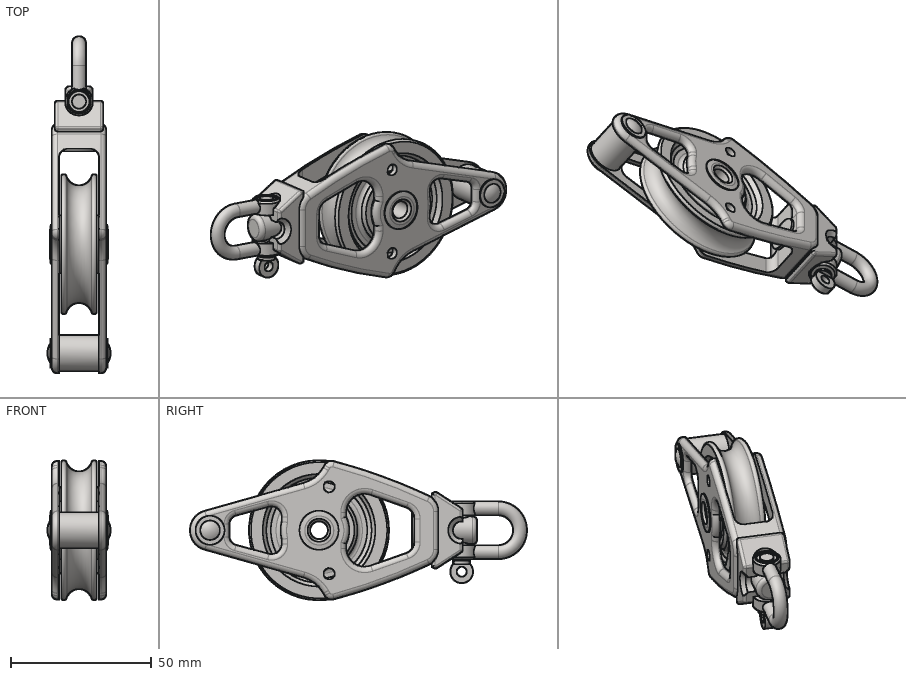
import cadquery as cq
import math


cheek_inner = 7.1
cheek_outer = 9.7
cheek_thickness = cheek_outer - cheek_inner
cheek_edge_radius = 2.0
cheek_rear = 42.8
shoulder_tip = (3.1, 25.3)
shoulder_root = (-1.0, 18.2)
shoulder_tip_radius = 3.0
shoulder_root_radius = 12.0
flank_middle = (22.9, 19.1)
rear_corner_z = 10.6
rear_corner_radius = 6.0
nose_y = -38.9
nose_radius = 7.2
rivet_hole_y = 3.6
rivet_hole_z = 15.5
rivet_hole_diameter = 4.0

rear_window_back = (33.9, 7.1)
rear_window_front = (9.7, 15.6)
rear_window_back_radius = 4.2
rear_window_front_radius = 6.5
rear_hub_clearance = 10.8
front_window_back = (-13.4, 9.6)
front_window_nose = (-31.9, 4.6)
front_window_back_radius = 3.6
front_window_nose_radius = 3.0
front_hub_clearance = 13.7

crossbar_inner_y = 34.0
crossbar_corner_radius = 3.1
stud_head_diameter = 12.0
stud_head_y = 33.1

sheave_radius = 25.0
sheave_half_width = 6.4
groove_radius = 4.5
groove_bottom_radius = 21.0
rim_edge_radius = 24.3
recess_depth = 2.4
recess_step_depth = 1.8
recess_mouth_radius = 20.1
recess_step_radius = 18.8
recess_floor_radius = 17.2
recess_root_radius = 15.4
hub_wall_radius = 13.7
hub_top_radius = 12.6

washer_diameter = 20.8
hub_cap_diameter = 14.0
hub_cap_top_diameter = 10.3
hub_cap_outer = 10.3
hub_cap_edge = 0.2
bore_diameter = 6.3
bore_mouth_diameter = 8.2

spacer_diameter = 13.0
becket_cap_diameter = 10.3
becket_cap_outer = 10.2
dome_diameter = 7.0
becket_half_length = 11.3

saddle_half_width = 8.7
saddle_front_y = 40.2
saddle_front_z = 13.1
saddle_ridge = (41.6, 13.8)
saddle_rear_y = 51.2
saddle_rear_z = 7.6
saddle_edge_radius = 1.1
saddle_ridge_radius = 0.8
notch_radius = 3.1
notch_edge_radius = 1.7
stud_diameter = 10.0
stud_end_y = 56.4
stud_edge_radius = 1.7

shackle_bar_diameter = 5.0
shackle_leg_z = 7.8
shackle_bend_y = 63.9
shackle_pin_y = 50.9
shackle_eye_diameter = 10.0
shackle_eye_edge = 0.7
pin_diameter = 5.0
pin_rim_diameter = 7.5
pin_recess_depth = 0.5
key_eye_z = -14.8
key_eye_diameter = 8.2
key_hole_diameter = 3.5
key_thickness = 3.1
key_collar_diameter = 6.3
key_collar_height = 1.2
key_neck_height = 0.6


def x_cylinder(diameter, half_length, y=0.0, z=0.0):
    """Cylinder along X, centred on the YZ plane."""
    plane = cq.Workplane("YZ", origin=(-half_length, y, z))
    return plane.circle(diameter / 2).extrude(2 * half_length)


def x_revolve(profile, y=0.0):
    """Revolve (x, radius) points about the X direction through the given y."""
    section = cq.Workplane("XY", origin=(0, y, 0)).polyline(profile).close()
    return section.revolve(360, (0, 0), (1, 0))


def both_sides(body):
    return body.union(body.mirror("YZ"))


def mirrored_z(point):
    return (point[0], -point[1])


def rounded(body, radius, y, z):
    """Round the X-direction edges near (y, z) and its mirror image in Z."""
    for side in (-1, 1):
        corner = cq.NearestToPointSelector((0, y, side * z))
        body = body.edges("|X").edges(corner).fillet(radius)
    return body


def cheek_blank(x_start, thickness):
    """Plate with the side outline shared by the cheeks and the crossbar."""
    root_y, root_z = shoulder_root
    reach = math.hypot(root_y - nose_y, root_z)
    nose_angle = math.atan2(root_z, root_y - nose_y) + math.acos(nose_radius / reach)
    tangent = (nose_y + nose_radius * math.cos(nose_angle), nose_radius * math.sin(nose_angle))
    rear_corner = (cheek_rear, rear_corner_z)
    blank = (
        cq.Workplane("YZ", origin=(x_start, 0, 0))
        .moveTo(*rear_corner)
        .threePointArc(flank_middle, shoulder_tip)
        .lineTo(*shoulder_root)
        .lineTo(*tangent)
        .threePointArc((nose_y - nose_radius, 0), mirrored_z(tangent))
        .lineTo(*mirrored_z(shoulder_root))
        .lineTo(*mirrored_z(shoulder_tip))
        .threePointArc(mirrored_z(flank_middle), mirrored_z(rear_corner))
        .close()
        .extrude(thickness)
    )
    blank = rounded(blank, rear_corner_radius, *rear_corner)
    blank = rounded(blank, shoulder_tip_radius, *shoulder_tip)
    return rounded(blank, shoulder_root_radius, *shoulder_root)


def window(back, back_radius, front, front_radius, hub_clearance):
    """Four-cornered opening that stays clear of the hub."""
    corners = [back, front, mirrored_z(front), mirrored_z(back)]
    body = cq.Workplane("YZ").polyline(corners).close().extrude(cheek_outer, both=True)
    body = body.edges("|X and >Y").fillet(back_radius)
    body = body.edges("|X and <Y").fillet(front_radius)
    return body.cut(x_cylinder(2 * hub_clearance, cheek_outer))


def rear_window():
    return window(
        rear_window_back,
        rear_window_back_radius,
        rear_window_front,
        rear_window_front_radius,
        rear_hub_clearance,
    )


def front_window():
    return window(
        front_window_back,
        front_window_back_radius,
        front_window_nose,
        front_window_nose_radius,
        front_hub_clearance,
    )


def make_cheek():
    cheek = cheek_blank(cheek_inner, cheek_thickness)
    cheek = cheek.cut(rear_window()).cut(front_window())
    cheek = cheek.faces(">X").edges().fillet(cheek_edge_radius)
    for side in (-1, 1):
        cheek = cheek.cut(x_cylinder(rivet_hole_diameter, cheek_outer, rivet_hole_y, side * rivet_hole_z))
    return cheek


def make_crossbar():
    """Solid web between the cheeks, with an arched inner face."""
    web = cheek_blank(-cheek_inner, 2 * cheek_inner)
    opening_length = crossbar_inner_y - nose_y + 2 * nose_radius
    opening = (
        cq.Workplane("XY")
        .center(0, crossbar_inner_y - opening_length / 2)
        .rect(2 * cheek_inner, opening_length)
        .extrude(sheave_radius, both=True)
        .edges("|Z and >Y")
        .fillet(crossbar_corner_radius)
    )
    return web.cut(opening).cut(rear_window())


def make_sheave():
    rim_middle = (sheave_half_width + groove_radius) / 2
    profile = (
        cq.Workplane("XY")
        .moveTo(-sheave_half_width, 0)
        .lineTo(-sheave_half_width, rim_edge_radius)
        .threePointArc((-rim_middle, sheave_radius), (-groove_radius, rim_edge_radius))
        .threePointArc((0, groove_bottom_radius), (groove_radius, rim_edge_radius))
        .threePointArc((rim_middle, sheave_radius), (sheave_half_width, rim_edge_radius))
        .lineTo(sheave_half_width, 0)
        .close()
    )
    return profile.revolve(360, (0, 0), (1, 0)).cut(both_sides(make_sheave_recess()))


def make_sheave_recess():
    """Ring-shaped recess with a stepped outer wall and a curved hub wall."""
    floor_x = sheave_half_width - recess_depth
    wall_x = sheave_half_width - recess_depth / 2
    profile = (
        cq.Workplane("XY")
        .moveTo(sheave_half_width, recess_mouth_radius)
        .lineTo(sheave_half_width - recess_step_depth, recess_step_radius)
        .lineTo(floor_x, recess_floor_radius)
        .lineTo(floor_x, recess_root_radius)
        .tangentArcPoint((wall_x, hub_wall_radius), relative=False)
        .lineTo(sheave_half_width, hub_top_radius)
        .close()
    )
    return profile.revolve(360, (0, 0), (1, 0))


def make_hub():
    cap_radius = hub_cap_diameter / 2
    cap = x_revolve([
        (0, 0),
        (0, cap_radius),
        (hub_cap_outer - hub_cap_edge, cap_radius),
        (hub_cap_outer, hub_cap_top_diameter / 2),
        (hub_cap_outer, 0),
    ])
    return both_sides(cap).union(x_cylinder(washer_diameter, cheek_inner))


def make_bore():
    mouth_depth = (bore_mouth_diameter - bore_diameter) / 2
    mouth = x_revolve([
        (hub_cap_outer - mouth_depth, 0),
        (hub_cap_outer - mouth_depth, bore_diameter / 2),
        (hub_cap_outer, bore_mouth_diameter / 2),
        (hub_cap_outer, 0),
    ])
    return both_sides(mouth).union(x_cylinder(bore_diameter, hub_cap_outer))


def make_becket_pin():
    pin = x_cylinder(spacer_diameter, cheek_inner, nose_y)
    pin = pin.union(x_cylinder(becket_cap_diameter, becket_cap_outer, nose_y))
    dome_height = becket_half_length - becket_cap_outer
    dome_radius = dome_diameter / 2
    ball_radius = (dome_radius ** 2 + dome_height ** 2) / (2 * dome_height)
    ball_center = becket_half_length - ball_radius
    half_angle = math.asin(dome_radius / ball_radius) / 2
    dome_middle = (ball_center + ball_radius * math.cos(half_angle), ball_radius * math.sin(half_angle))
    dome = (
        cq.Workplane("XY", origin=(0, nose_y, 0))
        .lineTo(0, dome_radius)
        .lineTo(becket_cap_outer, dome_radius)
        .threePointArc(dome_middle, (becket_half_length, 0))
        .close()
        .revolve(360, (0, 0), (1, 0))
    )
    return pin.union(both_sides(dome))


def make_saddle():
    upper = [(saddle_rear_y, saddle_rear_z), saddle_ridge, (saddle_front_y, saddle_front_z)]
    lower = [mirrored_z(point) for point in reversed(upper)]
    saddle = cq.Workplane("YZ").polyline(upper + lower).close().extrude(saddle_half_width, both=True)
    saddle = saddle.edges("|X and >Y").fillet(saddle_edge_radius)
    saddle = rounded(saddle, saddle_ridge_radius, *saddle_ridge)
    saddle = saddle.faces("<X or >X").edges().fillet(saddle_edge_radius)
    notch = x_cylinder(2 * notch_radius, saddle_half_width, shackle_pin_y)
    flare = x_revolve([
        (saddle_half_width - notch_edge_radius, 0),
        (saddle_half_width - notch_edge_radius, notch_radius),
        (saddle_half_width, notch_radius + notch_edge_radius),
        (saddle_half_width, 0),
    ], shackle_pin_y)
    saddle = saddle.cut(notch).cut(both_sides(flare))
    seat = z_cylinder(shackle_eye_diameter, shackle_leg_z, saddle_ridge[1])
    return saddle.cut(seat).cut(seat.mirror("XY"))


def y_cylinder(diameter, y_start, y_end):
    plane = cq.Workplane("XZ", origin=(0, y_end, 0))
    return plane.circle(diameter / 2).extrude(y_end - y_start)


def make_stud():
    stud = y_cylinder(stud_diameter, crossbar_inner_y, stud_end_y)
    stud = stud.faces(">Y").edges().fillet(stud_edge_radius)
    return stud.union(y_cylinder(stud_head_diameter, stud_head_y, saddle_front_y))


def z_cylinder(diameter, z_start, z_end):
    plane = cq.Workplane("XY", origin=(0, shackle_pin_y, z_start))
    return plane.circle(diameter / 2).extrude(z_end - z_start)


def make_shackle():
    path = (
        cq.Workplane("YZ")
        .moveTo(shackle_pin_y, shackle_leg_z)
        .lineTo(shackle_bend_y, shackle_leg_z)
        .threePointArc((shackle_bend_y + shackle_leg_z, 0), (shackle_bend_y, -shackle_leg_z))
        .lineTo(shackle_pin_y, -shackle_leg_z)
    )
    bar_start = cq.Workplane("XZ", origin=(0, shackle_pin_y, shackle_leg_z))
    shackle = bar_start.circle(shackle_bar_diameter / 2).sweep(path)
    eye_top = shackle_leg_z + shackle_bar_diameter / 2
    eye_bottom = shackle_leg_z - shackle_bar_diameter / 2
    eye = z_cylinder(shackle_eye_diameter, eye_bottom, eye_top)
    eye = eye.faces(">Z").edges().chamfer(shackle_eye_edge)
    shackle = shackle.union(eye).union(eye.mirror("XY"))
    ring = z_cylinder(pin_rim_diameter, eye_top - pin_recess_depth, eye_top)
    ring = ring.cut(z_cylinder(pin_diameter, eye_top - pin_recess_depth, eye_top))
    return shackle.cut(ring)


def make_shackle_key():
    """Flat ring on the lower end of the shackle pin."""
    eye_bottom = -shackle_leg_z - shackle_bar_diameter / 2
    key = x_cylinder(key_eye_diameter, key_thickness / 2, shackle_pin_y, key_eye_z)
    collar_top = eye_bottom - key_neck_height
    key = key.union(z_cylinder(pin_diameter, collar_top, shackle_leg_z))
    key = key.union(z_cylinder(key_collar_diameter, collar_top - key_collar_height, collar_top))
    return key.cut(x_cylinder(key_hole_diameter, key_thickness, shackle_pin_y, key_eye_z))


result = (
    both_sides(make_cheek())
    .union(make_crossbar())
    .union(make_sheave())
    .union(make_hub())
    .union(make_becket_pin())
    .union(make_saddle())
    .union(make_stud())
    .union(make_shackle())
    .union(make_shackle_key())
    .cut(make_bore())
)